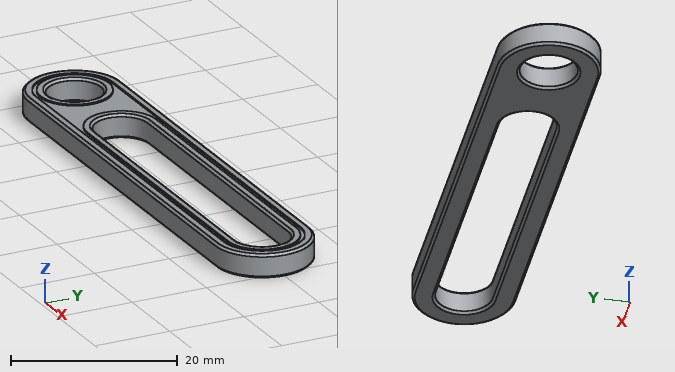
import cadquery as cq

length = 62.5
width = 12.5
thickness = 3.1
edge_chamfer = 0.3
opening_diameter = 7.0
collar_diameter = 9.2
border_width = 1.1
recess_depth = 0.2

end_center_x = (length - width) / 2
hole_x = -end_center_x
slot_start_x = -end_center_x / 2
slot_end_x = end_center_x


def straight_slot(start_x, end_x, diameter, base_z, height):
    """Upright round-ended prism whose end arcs are centred at start_x and end_x."""
    span = end_x - start_x
    return (
        cq.Workplane("XY", origin=((start_x + end_x) / 2, 0, base_z))
        .slot2D(span + diameter, diameter)
        .extrude(height)
    )


def round_post(center_x, diameter, base_z, height):
    """Upright cylinder on the bar's centre line."""
    return cq.Workplane("XY", origin=(center_x, 0, base_z)).circle(diameter / 2).extrude(height)


bar = straight_slot(-end_center_x, end_center_x, width, 0, thickness)
bar = bar.cut(round_post(hole_x, opening_diameter, 0, thickness))
bar = bar.cut(straight_slot(slot_start_x, slot_end_x, opening_diameter, 0, thickness))
bar = bar.faces("<Z or >Z").edges().chamfer(edge_chamfer)

floor_z = thickness - recess_depth
recess = straight_slot(-end_center_x, end_center_x, width - 2 * border_width, floor_z, recess_depth)
recess = recess.cut(round_post(hole_x, collar_diameter, floor_z, recess_depth))
recess = recess.cut(straight_slot(slot_start_x, slot_end_x, collar_diameter, floor_z, recess_depth))

result = bar.cut(recess)